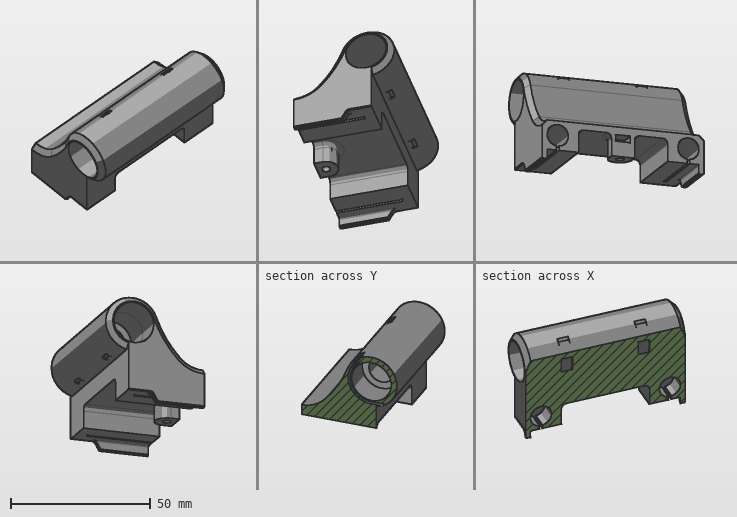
import cadquery as cq
import math

LENGTH = 62.0
FRONT_HEIGHT = 14.5
BACK_X = 29.0
END_CHAMFER = 2.0
EDGE_MARGIN = 0.05

BARREL_X = 27.05
BARREL_Z = 29.0
BARREL_RADIUS = 10.0
BEARING_DIAMETER = 15.1
BEARING_DEPTH = 24.0
SHAFT_DIAMETER = 10.0

LOWER_ARC_RADIUS = 12.0
LOWER_ARC_ANGLE = 46.0

SKIRT_THICKNESS = 2.05
UNDERSIDE_Z = 3.55
SKIRT_X = 18.05
SKIRT_SLOPE = 59.0
SKIRT_CORNER_RADIUS = 1.5
SKIRT_EDGE_CHAMFER = 0.4
SKIRT_ROOT_RADIUS = 0.3

CAVITY_WIDTH = 34.05
CAVITY_TOP = 12.0
CAVITY_FILLET = 2.0
POST_WIDTH = 8.85
POST_X = 3.35
SCREW_DIAMETER = 3.0
NUT_WIDTH = 5.65
NUT_DEPTH = POST_X + NUT_WIDTH / 2
NUT_BOTTOM = 9.1
NUT_TOP = 11.6

ROD_DIAMETER = 8.0
ROD_Y = 25.0
ROD_Z = 9.1
ROD_DEPTH = 24.8
SLIT_WIDTH = 1.05

TIE_Y = 14.95
TIE_WIDTH = 4.15
TIE_INNER_RADIUS = 8.25
TIE_THICKNESS = 0.7
TIE_ENTRY_ANGLE = 150.0
TIE_EXIT_ANGLE = 270.0


def polar(center, radius, degrees):
    """Point at an angle on a circle in the XZ plane."""
    angle = math.radians(degrees)
    return (center[0] + radius * math.cos(angle), center[1] + radius * math.sin(angle))


def extrude_y(sketch, width):
    """Extrude an XZ sketch symmetrically about Y = 0."""
    return sketch.extrude(width / 2, both=True)


def y_cylinder(radius, width, y=0):
    """Cylinder on the barrel axis, centered at y."""
    sketch = cq.Workplane("XZ").center(BARREL_X, BARREL_Z).circle(radius)
    return extrude_y(sketch, width).translate((0, y, 0))


def make_foot():
    """Body below the barrel, with its swept front surface chamfered at both ends."""
    barrel = (BARREL_X, BARREL_Z)
    lower_center = (0, FRONT_HEIGHT + LOWER_ARC_RADIUS)
    lower_middle = polar(lower_center, LOWER_ARC_RADIUS, LOWER_ARC_ANGLE / 2 - 90)
    joint = polar(lower_center, LOWER_ARC_RADIUS, LOWER_ARC_ANGLE - 90)

    normal_angle = LOWER_ARC_ANGLE + 90
    normal = polar((0, 0), 1, normal_angle)
    offset = (joint[0] - barrel[0], joint[1] - barrel[1])
    offset_squared = offset[0] ** 2 + offset[1] ** 2
    along_normal = offset[0] * normal[0] + offset[1] * normal[1]
    upper_radius = (offset_squared - BARREL_RADIUS ** 2) / (2 * (BARREL_RADIUS - along_normal))
    upper_center = polar(joint, upper_radius, normal_angle)
    to_barrel = math.degrees(math.atan2(barrel[1] - upper_center[1], barrel[0] - upper_center[0]))
    upper_middle = polar(upper_center, upper_radius, (LOWER_ARC_ANGLE - 90 + to_barrel) / 2)
    upper_end = polar(upper_center, upper_radius, to_barrel)

    slope_run = UNDERSIDE_Z / math.tan(math.radians(SKIRT_SLOPE))
    step_x = SKIRT_X + slope_run
    outline = (
        cq.Workplane("XZ")
        .moveTo(0, FRONT_HEIGHT)
        .threePointArc(lower_middle, joint)
        .threePointArc(upper_middle, upper_end)
        .lineTo(*barrel)
        .lineTo(BACK_X, BARREL_Z)
        .lineTo(BACK_X, UNDERSIDE_Z)
        .lineTo(step_x, UNDERSIDE_Z)
        .lineTo(SKIRT_X, 0)
        .lineTo(0, 0)
        .close()
    )
    foot = extrude_y(outline, LENGTH)
    corner = cq.selectors.NearestToPointSelector((step_x, 0, UNDERSIDE_Z))
    foot = foot.edges("|Y").edges(corner).fillet(SKIRT_CORNER_RADIUS)

    for face in ("<Y", ">Y"):
        foot = foot.faces(face).edges("%CIRCLE").edges(">Z or >>Z[-2]").chamfer(END_CHAMFER)

    for side in (-1, 1):
        outer_face_edges = cq.selectors.BoxSelector(
            (EDGE_MARGIN, side * LENGTH / 2 - EDGE_MARGIN, -EDGE_MARGIN),
            (BACK_X - EDGE_MARGIN, side * LENGTH / 2 + EDGE_MARGIN, UNDERSIDE_Z + EDGE_MARGIN),
        )
        foot = foot.edges(outer_face_edges).chamfer(SKIRT_EDGE_CHAMFER)

    inner_width = LENGTH - 2 * SKIRT_THICKNESS
    between_skirts = (
        cq.Workplane("XY")
        .box(BACK_X, inner_width, UNDERSIDE_Z, centered=(False, True, False))
        .edges("|X and >Z")
        .fillet(SKIRT_ROOT_RADIUS)
    )
    foot = foot.cut(between_skirts)
    bottom_inner_edges = foot.faces("<Z").edges("|X")
    return bottom_inner_edges.chamfer(SKIRT_EDGE_CHAMFER)


def make_barrel():
    """Barrel with beveled ends."""
    return y_cylinder(BARREL_RADIUS, LENGTH).faces("<Y or >Y").chamfer(END_CHAMFER)


def make_bores():
    """Shaft bore through the barrel with a bearing seat at each end."""
    bores = y_cylinder(SHAFT_DIAMETER / 2, LENGTH)
    for side in (-1, 1):
        middle = side * (LENGTH - BEARING_DEPTH) / 2
        bores = bores.union(y_cylinder(BEARING_DIAMETER / 2, BEARING_DEPTH, middle))
    return bores


def make_cavity():
    """Open cavity under the body, leaving the round-backed nut post."""
    cavity = cq.Workplane("XY").box(BACK_X, CAVITY_WIDTH, CAVITY_TOP, centered=(False, True, False))
    post = (
        cq.Workplane("XY")
        .rect(2 * POST_X, POST_WIDTH)
        .extrude(CAVITY_TOP)
        .union(cq.Workplane("XY").center(POST_X, 0).circle(POST_WIDTH / 2).extrude(CAVITY_TOP))
    )
    cavity = cavity.cut(post)
    return cavity.faces(">Z").edges("|X or %CIRCLE").fillet(CAVITY_FILLET)


def make_nut_trap():
    """Nut pocket open to the front, with a screw hole from below."""
    nut_height = NUT_TOP - NUT_BOTTOM
    pocket = (
        cq.Workplane("XY", origin=(0, 0, NUT_BOTTOM))
        .box(NUT_DEPTH, NUT_WIDTH, nut_height, centered=(False, True, False))
    )
    screw = cq.Workplane("XY").center(POST_X, 0).circle(SCREW_DIAMETER / 2).extrude(NUT_TOP)
    return pocket.union(screw)


def make_rod_socket(y):
    """Blind rod hole from the front with its slit open at the bottom."""
    socket = cq.Workplane("YZ").center(y, ROD_Z).circle(ROD_DIAMETER / 2).extrude(ROD_DEPTH)
    slit = (
        cq.Workplane("XY", origin=(0, y, 0))
        .box(ROD_DEPTH, SLIT_WIDTH, ROD_Z, centered=(False, True, False))
    )
    return socket.union(slit)


def make_tie_channel(y):
    """Thin channel that wraps a bearing and leaves the barrel along straight tangents."""
    barrel = (BARREL_X, BARREL_Z)
    outer_radius = TIE_INNER_RADIUS + TIE_THICKNESS
    middle_angle = (TIE_ENTRY_ANGLE + TIE_EXIT_ANGLE) / 2

    def tangent_end(radius, contact_angle, direction):
        return polar(polar(barrel, radius, contact_angle), BARREL_RADIUS, direction)

    entry_direction = TIE_ENTRY_ANGLE - 90
    exit_direction = TIE_EXIT_ANGLE + 90
    outline = (
        cq.Workplane("XZ")
        .moveTo(*tangent_end(TIE_INNER_RADIUS, TIE_ENTRY_ANGLE, entry_direction))
        .lineTo(*polar(barrel, TIE_INNER_RADIUS, TIE_ENTRY_ANGLE))
        .threePointArc(
            polar(barrel, TIE_INNER_RADIUS, middle_angle),
            polar(barrel, TIE_INNER_RADIUS, TIE_EXIT_ANGLE),
        )
        .lineTo(*tangent_end(TIE_INNER_RADIUS, TIE_EXIT_ANGLE, exit_direction))
        .lineTo(*tangent_end(outer_radius, TIE_EXIT_ANGLE, exit_direction))
        .lineTo(*polar(barrel, outer_radius, TIE_EXIT_ANGLE))
        .threePointArc(
            polar(barrel, outer_radius, middle_angle),
            polar(barrel, outer_radius, TIE_ENTRY_ANGLE),
        )
        .lineTo(*tangent_end(outer_radius, TIE_ENTRY_ANGLE, entry_direction))
        .close()
    )
    return extrude_y(outline, TIE_WIDTH).translate((0, y, 0))


result = make_foot().union(make_barrel())
result = result.cut(make_bores()).cut(make_cavity()).cut(make_nut_trap())
for side in (-1, 1):
    result = result.cut(make_rod_socket(side * ROD_Y))
    result = result.cut(make_tie_channel(side * TIE_Y))